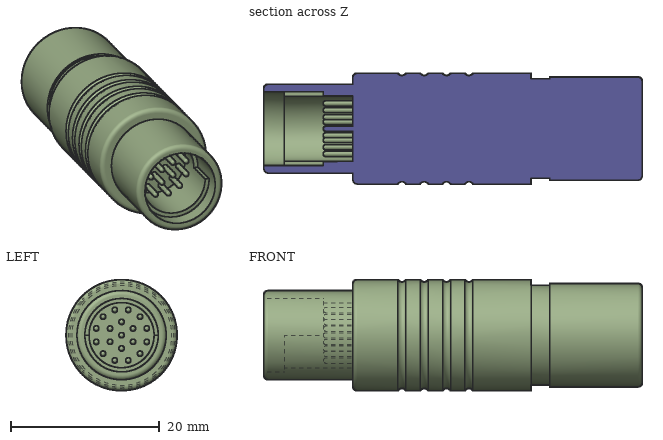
import cadquery as cq
import math

length = 51.0
body_start = 12.0
body_end = 36.0
tail_start = 38.5
nose_radius = 6.0
body_radius = 7.5
neck_radius = 6.75
tail_radius = 7.0
edge_round = 0.6

groove_count = 4
first_groove_center = 18.6
groove_pitch = 3.0
groove_width = 1.05
groove_depth = 0.3
groove_clearance = 0.5

socket_radius = 4.95
shell_inner_radius = 4.4
lower_shell_start = 2.8
upper_shell_start = 8.0
socket_floor = body_start

pin_radius = 0.35
pin_tip = upper_shell_start
pin_root = 0.5
outer_ring_radius = 3.5
outer_ring_count = 12
inner_ring_radius = 1.8
inner_ring_count = 6
outer_ring_first_angle = 15
inner_ring_first_angle = 30

start_x = -length / 2


def cylinder(start, end, radius):
    """Cylinder along X between two distances from the nose face."""
    plane = cq.Workplane("YZ", origin=(start_x + start, 0, 0))
    return plane.circle(radius).extrude(end - start)


def make_outside():
    nose = cylinder(0, body_start, nose_radius).faces("<X").edges().fillet(edge_round)
    body = cylinder(body_start, body_end, body_radius).faces("<X").edges().fillet(edge_round)
    neck = cylinder(body_end, tail_start, neck_radius)
    tail = cylinder(tail_start, length, tail_radius).faces(">X").edges().fillet(edge_round)
    return nose.union(body).union(neck).union(tail)


def make_groove(center):
    """Ring with a circular-arc bottom, centred at a distance from the nose face."""
    x = start_x + center
    half = groove_width / 2
    profile = (
        cq.Workplane("XY")
        .moveTo(x - half, body_radius + groove_clearance)
        .lineTo(x - half, body_radius)
        .threePointArc((x, body_radius - groove_depth), (x + half, body_radius))
        .lineTo(x + half, body_radius + groove_clearance)
        .close()
    )
    return profile.revolve(360, (0, 0, 0), (1, 0, 0))


def make_socket():
    """Space to remove: full bore, narrowed by the two halves of the shell."""
    bore = cylinder(0, upper_shell_start, socket_radius)
    core = cylinder(0, socket_floor, shell_inner_radius)
    below_axis = cq.Workplane("XY").box(length, length, length).translate((0, 0, -length / 2))
    lower_shell = cylinder(lower_shell_start, upper_shell_start, socket_radius).intersect(below_axis)
    lower_shell = lower_shell.cut(core)
    return bore.union(core).cut(lower_shell)


def make_pin(y, z):
    """Round-tipped pin, rooted in the socket floor."""
    shank_start = pin_tip + pin_radius
    shank = cylinder(shank_start, socket_floor + pin_root, pin_radius)
    tip = cq.Workplane("XY").sphere(pin_radius).translate((start_x + shank_start, 0, 0))
    return shank.union(tip).translate((0, y, z))


def ring_points(radius, count, first_angle):
    angles = [math.radians(first_angle + 360 * i / count) for i in range(count)]
    return [(radius * math.cos(a), radius * math.sin(a)) for a in angles]


result = make_outside()
for index in range(groove_count):
    result = result.cut(make_groove(first_groove_center + index * groove_pitch))
result = result.cut(make_socket())

pin_points = [(0, 0)]
pin_points += ring_points(inner_ring_radius, inner_ring_count, inner_ring_first_angle)
pin_points += ring_points(outer_ring_radius, outer_ring_count, outer_ring_first_angle)
for y, z in pin_points:
    result = result.union(make_pin(y, z))